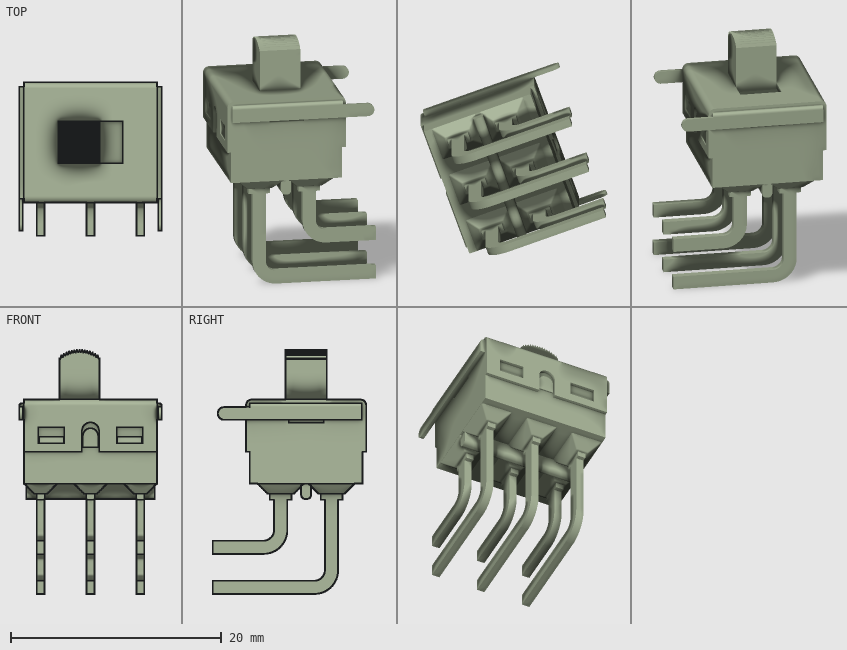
import cadquery as cq
import math


overall_width = 13.58
overall_depth = 14.6
overall_height = 23.2

body_width = 12.67
housing_depth = 10.75
housing_height = 7.65
sheet = 0.35
cover_depth = 11.45
cover_bottom = 3.02
cover_top = housing_height + sheet
cover_bend_radius = 0.58

slot_width = 6.15
slot_depth = 4.0
slot_floor = cover_top - 0.55

strip_bottom = 6.05
strip_round = 0.32
strip_back = 5.3
tab_sheet = 0.37
tab_height = 1.23
tab_end = 8.4
side_notch_width = 3.35
side_notch_height = 0.28
side_notch_depth = 0.23

window_spacing = 7.45
window_width = 2.48
window_bottom = 3.85
window_height = 1.49
latch_width = 2.32
latch_height = 0.63
latch_reach = 0.2

notch_width = 1.62
notch_top = 5.83
key_width = 1.45
key_bottom = 3.48
key_top = 5.27
key_reach = 0.15

knob_width = 3.83
knob_depth = 3.92
knob_clearance = 0.12
knob_x = -(slot_width - knob_width) / 2 + knob_clearance
knob_top = 12.72
knob_radius = 3.15
tooth_count = 15
edge_share = 0.25
tooth_pitch = knob_width / (tooth_count + 2 * edge_share)
tooth_depth = 0.23

pin_pitch = 4.73
row_spacing = 4.83
standoff_width = 3.15
standoff_depth = 4.4
standoff_height = 0.97
standoff_round = 0.2
rib_width = 12.25
rib_depth = 0.97
rib_height = 1.46
rib_round = 0.42

pin_width = 0.77
pin_thickness = 1.28
pin_inner_radius = 1.0
pin_end = overall_depth - cover_depth / 2
shoulder_depth = 2.1
shoulder_bottom = 1.53
front_leg_bottom = 6.68
back_leg_bottom = overall_height - knob_top


def block(width, depth, bottom, top, x=0, y=0):
    """Box centred on (x, y) that reaches from bottom to top."""
    box = cq.Workplane("XY").box(width, depth, top - bottom, centered=(True, True, False))
    return box.translate((x, y, bottom))


def arch(width, bottom, top, depth):
    """Round-topped upright plate standing from the front housing face toward -Y."""
    half = width / 2
    return (
        cq.Workplane("XZ", origin=(0, -housing_depth / 2, 0))
        .moveTo(-half, bottom)
        .lineTo(-half, top - half)
        .threePointArc((0, top), (half, top - half))
        .lineTo(half, bottom)
        .close()
        .extrude(depth)
    )


def both_faces(shape):
    """The shape and its mirror image on the back face."""
    return shape.union(shape.mirror("XZ"))


def make_cover():
    """Cover filled with the housing, with its windows, notches and knob slot cut out."""
    cover = block(body_width, cover_depth, cover_bottom, cover_top)
    cover = cover.edges("|X and >Z").fillet(cover_bend_radius)
    cover = cover.cut(block(slot_width, slot_depth, slot_floor, cover_top))

    wall = (cover_depth - housing_depth) / 2
    openings = arch(notch_width, cover_bottom, notch_top, wall)
    for side in (-1, 1):
        openings = openings.union(
            block(
                window_width,
                wall,
                window_bottom,
                window_bottom + window_height,
                side * window_spacing / 2,
                -housing_depth / 2 - wall / 2,
            )
        )
    return cover.cut(both_faces(openings))


def make_latches():
    """Sloped latches in the windows and the key in the arched notch."""
    face = housing_depth / 2
    latches = arch(key_width, key_bottom, key_top, key_reach)
    for side in (-1, 1):
        latch = (
            cq.Workplane("YZ")
            .moveTo(-face, window_bottom)
            .lineTo(-face - latch_reach, window_bottom)
            .lineTo(-face, window_bottom + latch_height)
            .close()
            .extrude(latch_width / 2, both=True)
        )
        latches = latches.union(latch.translate((side * window_spacing / 2, 0, 0)))
    return both_faces(latches)


def make_strip():
    """Strip along the +X side, continued to the front by a round-ended tab."""
    thickness = (overall_width - body_width) / 2
    center = (overall_width + body_width) / 4
    strip_front = -housing_depth / 2
    strip = block(
        thickness,
        strip_back - strip_front,
        strip_bottom,
        housing_height,
        center,
        (strip_back + strip_front) / 2,
    )
    strip = strip.edges("|Y and >Z and >X").fillet(strip_round)

    radius = tab_height / 2
    tab = (
        cq.Workplane("YZ", origin=(overall_width / 2 - tab_sheet, 0, 0))
        .moveTo(strip_front, strip_bottom)
        .lineTo(-tab_end + radius, strip_bottom)
        .threePointArc(
            (-tab_end, strip_bottom + radius), (-tab_end + radius, strip_bottom + tab_height)
        )
        .lineTo(strip_front, strip_bottom + tab_height)
        .close()
        .extrude(tab_sheet)
    )
    return strip.union(tab)


def make_side_notch():
    """Shallow recess in the +X housing side, just below the strip."""
    return block(
        side_notch_depth,
        side_notch_width,
        strip_bottom - side_notch_height,
        strip_bottom,
        (body_width - side_notch_depth) / 2,
    )


def make_knob():
    """Knob with a serrated crown: tooth tips and roots lie on concentric arcs."""
    center_z = knob_top - knob_radius

    def crown_point(x, radius):
        return (x, center_z + math.sqrt(radius**2 - x**2))

    root_radius = knob_radius - tooth_depth
    edge_radius = knob_radius - tooth_depth / 2
    half = knob_width / 2
    first_root = -tooth_count * tooth_pitch / 2
    crown = [crown_point(-half, edge_radius), crown_point(first_root, root_radius)]
    for tooth in range(tooth_count):
        root = first_root + tooth * tooth_pitch
        crown.append(crown_point(root + tooth_pitch / 2, knob_radius))
        crown.append(crown_point(root + tooth_pitch, root_radius))
    crown.append(crown_point(half, edge_radius))

    outline = [(-half, slot_floor)] + crown + [(half, slot_floor)]
    knob = cq.Workplane("XZ").polyline(outline).close().extrude(knob_depth / 2, both=True)
    return knob.translate((knob_x, 0, 0))


def make_standoff():
    """Tapered pin seat with 45 degree sides, rounded along its slopes and lower rim."""
    return (
        cq.Workplane("XY")
        .rect(standoff_width, standoff_depth)
        .extrude(-standoff_height, taper=45)
        .edges("not >Z")
        .fillet(standoff_round)
    )


def make_pin(y, leg_bottom):
    """Pin that drops at y, bends and runs forward with its underside at -leg_bottom."""
    back = y + pin_thickness / 2
    front = y - pin_thickness / 2
    outer_radius = pin_inner_radius + pin_thickness
    bend_y = back - outer_radius
    bend_z = -leg_bottom + outer_radius
    diagonal = math.sqrt(0.5)
    pin = (
        cq.Workplane("YZ")
        .moveTo(front, 0)
        .lineTo(front, bend_z)
        .threePointArc(
            (bend_y + pin_inner_radius * diagonal, bend_z - pin_inner_radius * diagonal),
            (bend_y, bend_z - pin_inner_radius),
        )
        .lineTo(-pin_end, -leg_bottom + pin_thickness)
        .lineTo(-pin_end, -leg_bottom)
        .lineTo(bend_y, -leg_bottom)
        .threePointArc(
            (bend_y + outer_radius * diagonal, bend_z - outer_radius * diagonal), (back, bend_z)
        )
        .lineTo(back, 0)
        .close()
        .extrude(pin_width / 2, both=True)
    )
    return pin.union(block(pin_width, shoulder_depth, -shoulder_bottom, 0, 0, y))


strip = make_strip()
side_notch = make_side_notch()
result = block(body_width, housing_depth, 0, cover_bottom)
result = result.union(make_cover()).union(make_latches())
result = result.cut(side_notch).cut(side_notch.mirror("YZ"))
result = result.union(strip).union(strip.mirror("YZ"))
result = result.union(make_knob())

rib = block(rib_width, rib_depth, -rib_height, 0)
result = result.union(rib.edges("|X and <Z").fillet(rib_round))

for row_y, leg_bottom in (
    (-row_spacing / 2, front_leg_bottom),
    (row_spacing / 2, back_leg_bottom),
):
    terminal = make_standoff().translate((0, row_y, 0)).union(make_pin(row_y, leg_bottom))
    for column in (-1, 0, 1):
        result = result.union(terminal.translate((column * pin_pitch, 0, 0)))